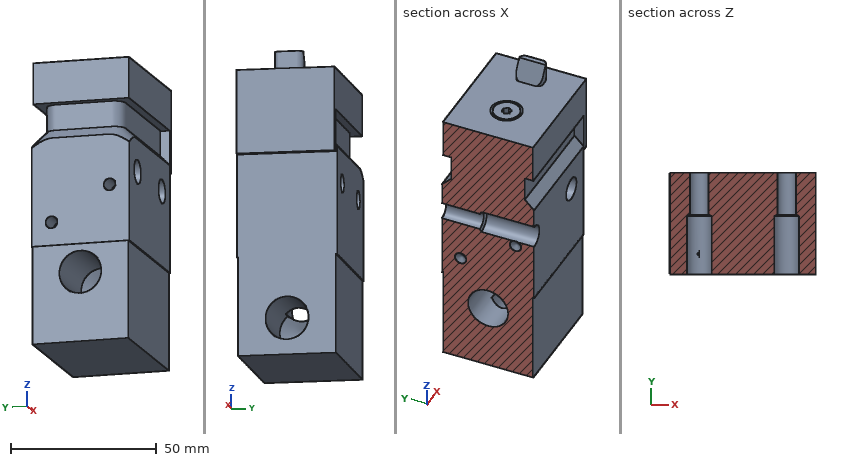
import cadquery as cq
import math

BASE_LENGTH = 50.25
BASE_WIDTH = 34.25
BASE_HEIGHT = 34.5

BODY_LENGTH = 50.0
BODY_WIDTH = 35.0
SHOULDER_TOP_Z = 76.0
BODY_LEFT_X = BASE_LENGTH - BODY_LENGTH

NECK_INSET = 3.5
NECK_CORNER_RADIUS = 4.0

CAP_LEFT_X = 0.75
CAP_LENGTH = 52.5
CAP_WIDTH = BASE_WIDTH
CAP_HEIGHT = 14.5
CAP_BOTTOM_Z = 85.0
CAP_TOP_Z = CAP_BOTTOM_Z + CAP_HEIGHT
LIP_THICKNESS = 2.25
LIP_DROP = 14.75

LATCH_LEFT_X = 42.0
LATCH_LENGTH = 6.0
LATCH_WIDTH = 10.0
LATCH_HEIGHT = 7.0
LATCH_SLOPE_ANGLE = 60.0
LATCH_CORNER_RADIUS = 2.0

SCREW_X = BODY_LEFT_X + BODY_LENGTH / 2
COUNTERSINK_DIAMETER = 11.2
SCREW_HEAD_DIAMETER = 9.6
COUNTERSINK_DEPTH = (COUNTERSINK_DIAMETER - SCREW_HEAD_DIAMETER) / 2
HEX_ACROSS_FLATS = 3.0
HEX_DEPTH = 2.5

MOUNT_INSET = 10.0
MOUNT_SPACING = 30.0
MOUNT_Z = 61.0
MOUNT_DIAMETER = 6.3
MOUNT_WIDE_DIAMETER = 8.4
MOUNT_WIDE_DEPTH = 20.0

PIN_DIAMETER = 4.2
PIN_DEPTH = 10.0
PIN_OFFSET_Y = 10.4
PIN_MIDDLE_Z = 48.75
PIN_OFFSET_Z = 6.0

CABLE_DIAMETER = 15.0
CABLE_DEPTH = 27.0
CABLE_UPPER_Z = 24.5
CABLE_LOWER_Z = 12.75

DRILL_TIP_ANGLE = 118.0


def block(left_x, length, width, bottom_z, height):
    """Box centred on Y = 0."""
    box = cq.Workplane("XY").box(length, width, height, centered=(False, True, False))
    return box.translate((left_x, 0, bottom_z))


def cone_length(start_diameter, end_diameter):
    """Axial length of a drill-tip cone between two diameters."""
    return (start_diameter - end_diameter) / 2 / math.tan(math.radians(DRILL_TIP_ANGLE / 2))


def drill(start, direction, diameter, depth, end_diameter=0.0):
    """Cylinder of the given depth, continued by a drill-tip cone."""
    origin = cq.Vector(*start)
    axis = cq.Vector(*direction)
    barrel = cq.Solid.makeCylinder(diameter / 2, depth, origin, axis)
    tip_length = cone_length(diameter, end_diameter)
    tip = cq.Solid.makeCone(diameter / 2, end_diameter / 2, tip_length, origin + axis * depth, axis)
    return cq.Workplane(obj=barrel).union(cq.Workplane(obj=tip))


def make_body():
    """Body block under a neck whose shoulder tapers out at 45 degrees, running straight at +X."""
    neck_left_x = BODY_LEFT_X + NECK_INSET
    neck_width = BODY_WIDTH - 2 * NECK_INSET
    neck_length = BODY_LENGTH + NECK_CORNER_RADIUS
    outline = (
        cq.Workplane("XY", origin=(neck_left_x + neck_length / 2, 0, SHOULDER_TOP_Z))
        .sketch()
        .rect(neck_length, neck_width)
        .vertices()
        .fillet(NECK_CORNER_RADIUS)
        .finalize()
    )
    neck = outline.extrude(CAP_BOTTOM_Z - SHOULDER_TOP_Z)

    side_reach = NECK_CORNER_RADIUS + NECK_INSET
    skirt_depth = math.ceil(side_reach * math.sqrt(2) - NECK_CORNER_RADIUS)
    skirt = outline.extrude(-skirt_depth, taper=-45)

    lower_height = SHOULDER_TOP_Z - skirt_depth - BASE_HEIGHT
    lower_body = block(BODY_LEFT_X, BODY_LENGTH, BODY_WIDTH, BASE_HEIGHT, lower_height)
    body_limit = block(BODY_LEFT_X, BODY_LENGTH, BODY_WIDTH, BASE_HEIGHT, CAP_BOTTOM_Z - BASE_HEIGHT)
    return lower_body.union(skirt.union(neck).intersect(body_limit))


def make_cap():
    """Cap plate with its hanging lip."""
    plate = block(CAP_LEFT_X, CAP_LENGTH, CAP_WIDTH, CAP_BOTTOM_Z, CAP_HEIGHT)
    lip_left_x = CAP_LEFT_X + CAP_LENGTH - LIP_THICKNESS
    lip = block(lip_left_x, LIP_THICKNESS, CAP_WIDTH, CAP_BOTTOM_Z - LIP_DROP, LIP_DROP)
    return plate.union(lip)


def make_latch():
    """Round-cornered bolt with a sloping face toward -X."""
    bolt = block(LATCH_LEFT_X, LATCH_LENGTH, LATCH_WIDTH, CAP_TOP_Z, LATCH_HEIGHT)
    bolt = bolt.edges("|Z").fillet(LATCH_CORNER_RADIUS)
    right_x = LATCH_LEFT_X + LATCH_LENGTH
    top_z = CAP_TOP_Z + LATCH_HEIGHT
    slope_run = LATCH_HEIGHT / math.tan(math.radians(LATCH_SLOPE_ANGLE))
    wedge = (
        cq.Workplane("XZ")
        .moveTo(LATCH_LEFT_X, CAP_TOP_Z)
        .lineTo(right_x, CAP_TOP_Z)
        .lineTo(right_x, top_z)
        .lineTo(LATCH_LEFT_X + slope_run, top_z)
        .close()
        .extrude(LATCH_WIDTH / 2, both=True)
    )
    return bolt.intersect(wedge)


def cut_screw_head(part):
    """Groove between the countersink and the head's upright rim, and the hexagon socket in the head."""
    head_radius = SCREW_HEAD_DIAMETER / 2
    groove = (
        cq.Workplane("XZ", origin=(SCREW_X, 0, CAP_TOP_Z))
        .moveTo(head_radius, 0)
        .lineTo(COUNTERSINK_DIAMETER / 2, 0)
        .lineTo(head_radius, -COUNTERSINK_DEPTH)
        .close()
        .revolve(360, (0, 0), (0, 1))
    )
    hex_across_corners = HEX_ACROSS_FLATS / math.cos(math.pi / 6)
    socket = cq.Workplane("XY", origin=(SCREW_X, 0, CAP_TOP_Z)).polygon(6, hex_across_corners).extrude(-HEX_DEPTH)
    return part.cut(groove).cut(socket)


def cut_mounting_holes(part):
    """Two through holes along Y, wide from the -Y side and stepped down by a drill-tip cone."""
    front_y = -BODY_WIDTH / 2
    first_x = BODY_LEFT_X + MOUNT_INSET
    for x in (first_x, first_x + MOUNT_SPACING):
        start = (x, front_y, MOUNT_Z)
        part = part.cut(
            drill(start, (0, 1, 0), MOUNT_WIDE_DIAMETER, MOUNT_WIDE_DEPTH, MOUNT_DIAMETER)
        )
        through = cq.Solid.makeCylinder(MOUNT_DIAMETER / 2, BODY_WIDTH, cq.Vector(*start), cq.Vector(0, 1, 0))
        part = part.cut(cq.Workplane(obj=through))
    return part


def cut_pin_holes(part):
    """Two blind pin holes in the -X face of the body."""
    for side in (-1, 1):
        start = (BODY_LEFT_X, side * PIN_OFFSET_Y, PIN_MIDDLE_Z - side * PIN_OFFSET_Z)
        part = part.cut(drill(start, (1, 0, 0), PIN_DIAMETER, PIN_DEPTH))
    return part


def cut_cable_entries(part):
    """Upper entry from the -X end and lower entry from the +X end."""
    upper = drill((0, 0, CABLE_UPPER_Z), (1, 0, 0), CABLE_DIAMETER, CABLE_DEPTH)
    lower = drill((BASE_LENGTH, 0, CABLE_LOWER_Z), (-1, 0, 0), CABLE_DIAMETER, CABLE_DEPTH)
    return part.cut(upper).cut(lower)


base = block(0, BASE_LENGTH, BASE_WIDTH, 0, BASE_HEIGHT)
result = base.union(make_body()).union(make_cap()).union(make_latch())
result = cut_screw_head(result)
result = cut_mounting_holes(result)
result = cut_pin_holes(result)
result = cut_cable_entries(result)